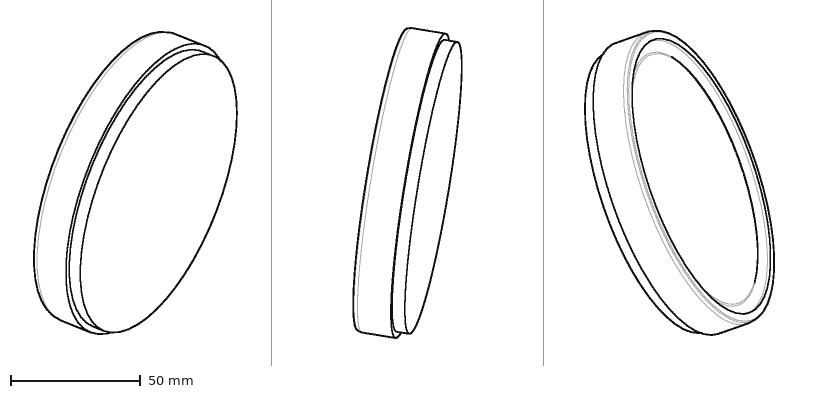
import math

import cadquery as cq

total_length = 20.0
spigot_length = 5.0
nose_length = 1.8
front_x = -total_length / 2
back_x = total_length / 2
shoulder_x = back_x - spigot_length
nose_end_x = front_x + nose_length

body_radius = 118.9 / 2
spigot_radius = 114.0 / 2
nose_taper_angle = math.radians(15)
nose_radius = body_radius - nose_length * math.tan(nose_taper_angle)
nose_edge_fillet = 0.5

recess_radius = 55.7
recess_depth = 3.0
groove_radius = 2.5
groove_depth = 4.0
lip_radius = 1.0
recess_floor_x = front_x + recess_depth

groove_centre_x = front_x + groove_depth - groove_radius
groove_centre_r = recess_radius - groove_radius
lip_centre_x = recess_floor_x + lip_radius
centre_distance = groove_radius + lip_radius
lip_centre_r = groove_centre_r - math.sqrt(centre_distance**2 - (lip_centre_x - groove_centre_x) ** 2)


def point_on_arc(centre_x, centre_r, radius, angle):
    """Point on an arc, with the angle measured from +X towards larger radius."""
    return (centre_x + radius * math.cos(angle), centre_r + radius * math.sin(angle))


def turned_body():
    """Disc with a rear spigot and a tapered front nose with a rounded edge."""
    outline = (
        cq.Workplane("XY")
        .moveTo(front_x, 0)
        .lineTo(front_x, nose_radius)
        .lineTo(nose_end_x, body_radius)
        .lineTo(shoulder_x, body_radius)
        .lineTo(shoulder_x, spigot_radius)
        .lineTo(back_x, spigot_radius)
        .lineTo(back_x, 0)
        .close()
    )
    body = outline.revolve(360, (0, 0, 0), (1, 0, 0))
    return body.faces("<X").edges().fillet(nose_edge_fillet)


def front_recess():
    """Recess volume: straight wall, round groove, rounded lip and flat floor."""
    touch_angle = math.atan2(lip_centre_r - groove_centre_r, lip_centre_x - groove_centre_x)
    touch_point = point_on_arc(groove_centre_x, groove_centre_r, groove_radius, touch_angle)
    groove_middle = point_on_arc(groove_centre_x, groove_centre_r, groove_radius, 0)

    lip_start_angle = touch_angle + math.pi
    lip_middle_angle = (lip_start_angle + math.pi) / 2
    lip_middle = point_on_arc(lip_centre_x, lip_centre_r, lip_radius, lip_middle_angle)

    section = (
        cq.Workplane("XY")
        .moveTo(front_x, 0)
        .lineTo(front_x, recess_radius)
        .lineTo(groove_centre_x, recess_radius)
        .threePointArc(groove_middle, touch_point)
        .threePointArc(lip_middle, (recess_floor_x, lip_centre_r))
        .lineTo(recess_floor_x, 0)
        .close()
    )
    return section.revolve(360, (0, 0, 0), (1, 0, 0))


result = turned_body().cut(front_recess())